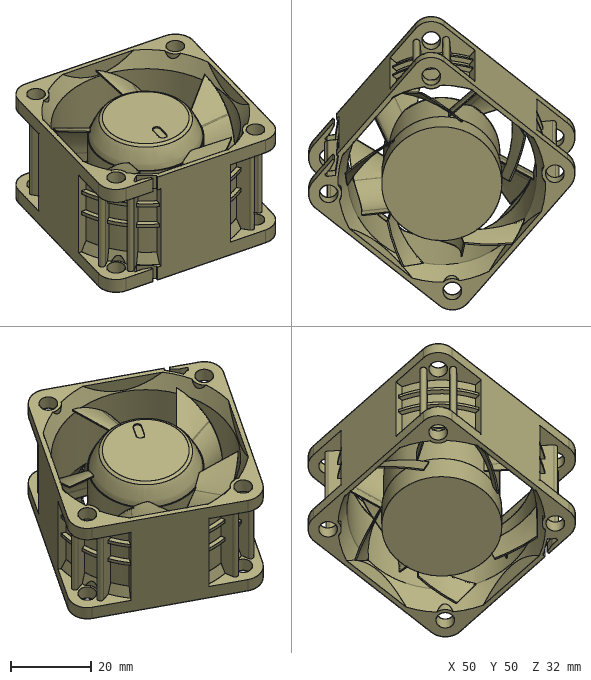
import cadquery as cq
import math

SIDE = 50.0
HEIGHT = 32.0
FLANGE_THICKNESS = 4.0
CORNER_RADIUS = 5.0
FLANGE_TOP_Z = HEIGHT - FLANGE_THICKNESS

BORE_RADIUS = 23.6
DUCT_RADIUS = SIDE / 2
FLARE_RADIUS = 25.85
FLARE_SQUARE = 47.5
INLET_FLARE_DEPTH = 4.25
OUTLET_FLARE_DEPTH = 7.0
OUTER_FLARE_RADIUS = 26.2
PANEL_WIDTH = 20.0

HOLE_SPACING = 40.0
HOLE_DIAMETER = 4.6
HOLE_BOSS_RADIUS = 3.25
SCREW_CLEARANCE_RADIUS = 2.8

HOOP_RADIUS = 26.2
HOOP_THICKNESS = 1.0
HOOP_BOTTOMS = (15.55, 21.95)
FIN_OFFSET = 3.7
FIN_THICKNESS = 1.75
FIN_REACH = 29.0

NOTCH_POINTS = [
    (SIDE / 2, -10.95),
    (24.35, -10.95),
    (21.8, -15.2),
    (23.2, -16.75),
    (23.85, -16.75),
    (23.85, -14.75),
    (24.4, -12.35),
    (SIDE / 2, -12.35),
]

BLADE_COUNT = 5
STEP_ANGLE = 360 / BLADE_COUNT

BASE_RADIUS = 14.95
BASE_HEIGHT = 8.0
VANE_THICKNESS = 0.4
VANE_BOTTOM_Z = 1.0
VANE_TOP_Z = 7.0
VANE_LOW_ARC = ((6.5, 15.35), (12.1, 15.4), (19.0, 14.6))
VANE_HIGH_ARC = ((5.0, 13.75), (12.5, 13.35), (21.4, 10.1))

HUB_TOP_Z = 30.15
HUB_FACE_RADIUS = 10.8
HUB_DOME_TOP = (11.65, 29.7)
HUB_DOME_MIDDLE = (13.3, 27.15)
HUB_DOME_BOTTOM = (14.25, 24.35)
HUB_RADIUS = 14.5
SLOT_CENTER_X = 7.0
SLOT_LENGTH = 5.1
SLOT_WIDTH = 2.1
SLOT_DEPTH = 0.4

BLADE_TIP_RADIUS = 23.0
BLADE_ROOT_RADIUS = 13.0
BLADE_ANGLE = 8.0
BLADE_THICKNESS = 0.3
BLADE_BOTTOM_Z = 10.0
BLADE_BACK_X = 9.5
BLADE_BREAK_X = 4.6
BLADE_ARC_RADIUS = 15.0
BLADE_ARC_CENTER = (BLADE_BACK_X - BLADE_ARC_RADIUS, 12.75)
BLADE_FRONT_TIP = (-5.0, 22.45, 30.4)
BLADE_FRONT_ROOT = (0.6, 13.4, 25.8)
BLADE_INNER_Y = 10.0
BLADE_OUTER_Y = 23.5


def cylinder(radius, bottom, top):
    return cq.Workplane("XY").workplane(offset=bottom).circle(radius).extrude(top - bottom)


def cone(bottom_radius, bottom, top_radius, top):
    profile = [(0, bottom), (bottom_radius, bottom), (top_radius, top), (0, top)]
    return cq.Workplane("XZ").polyline(profile).close().revolve(360, (0, 0), (0, 1))


def turned(part, angle):
    return part.rotate((0, 0, 0), (0, 0, 1), angle)


def square_block(width, bottom, top):
    return cq.Workplane("XY").workplane(offset=bottom).rect(width, width).extrude(top - bottom)


def at_screw_holes(radius, bottom, top):
    """Cylinders on the four screw hole axes."""
    return (
        cq.Workplane("XY").workplane(offset=bottom)
        .rect(HOLE_SPACING, HOLE_SPACING, forConstruction=True)
        .vertices().circle(radius).extrude(top - bottom)
    )


def flange(bottom):
    top = bottom + FLANGE_THICKNESS
    plate = square_block(SIDE, bottom, top).edges("|Z").fillet(CORNER_RADIUS)
    return plate.cut(at_screw_holes(HOLE_DIAMETER / 2, bottom, top))


def flare_cut(flare):
    """Flare with flattened sides, relieved around the screw holes."""
    cut = flare.intersect(square_block(FLARE_SQUARE, 0, HEIGHT))
    return cut.cut(at_screw_holes(HOLE_BOSS_RADIUS, 0, HEIGHT))


def side_panels():
    along_x = cq.Workplane("XY").box(SIDE, PANEL_WIDTH, HEIGHT, centered=(True, True, False))
    along_y = cq.Workplane("XY").box(PANEL_WIDTH, SIDE, HEIGHT, centered=(True, True, False))
    return along_x.union(along_y)


def corner_hoop(bottom):
    hoop = cylinder(HOOP_RADIUS, bottom, bottom + HOOP_THICKNESS)
    return hoop.intersect(square_block(SIDE, 0, HEIGHT))


def corner_fins():
    """Pairs of round-edged fins parallel to each corner's diagonal."""
    fins = cq.Workplane("XY")
    inner_end = DUCT_RADIUS - 2 * FIN_THICKNESS
    for angle in (45, 135, 225, 315):
        for offset in (-FIN_OFFSET, FIN_OFFSET):
            fin = (
                cq.Workplane("XY").center((inner_end + FIN_REACH) / 2, offset)
                .slot2D(FIN_REACH - inner_end, FIN_THICKNESS).extrude(FLANGE_TOP_Z)
            )
            fins = fins.union(turned(fin, angle))
    return fins


def vane_section(arc, z):
    """Flat strip between an arc and its copy shifted along +Y."""
    start, middle, end = arc
    shifted_start, shifted_middle, shifted_end = [(x, y + VANE_THICKNESS) for x, y in arc]
    return (
        cq.Workplane("XY").workplane(offset=z)
        .moveTo(*start).threePointArc(middle, end)
        .lineTo(*shifted_end).threePointArc(shifted_middle, shifted_start)
        .close().wires().val()
    )


def vane():
    """Sloping curved vane, ruled from its low edge to its high edge."""
    low = vane_section(VANE_LOW_ARC, VANE_BOTTOM_Z)
    high = vane_section(VANE_HIGH_ARC, VANE_TOP_Z)
    return cq.Workplane(cq.Solid.makeLoft([low, high], True))


def stator():
    body = cylinder(BASE_RADIUS, 0, BASE_HEIGHT)
    first = vane()
    for index in range(BLADE_COUNT):
        body = body.union(turned(first, index * STEP_ANGLE))
    return body


def build_housing():
    shell = cylinder(DUCT_RADIUS, 0, HEIGHT).union(side_panels())
    outer_flare = cone(OUTER_FLARE_RADIUS, FLANGE_THICKNESS, DUCT_RADIUS, OUTLET_FLARE_DEPTH)
    shell = shell.union(outer_flare.intersect(square_block(SIDE, 0, HEIGHT)))
    shell = shell.cut(at_screw_holes(SCREW_CLEARANCE_RADIUS, FLANGE_THICKNESS, FLANGE_TOP_Z))
    for bottom in HOOP_BOTTOMS:
        shell = shell.union(corner_hoop(bottom))
    shell = shell.union(corner_fins())
    shell = shell.union(flange(0)).union(flange(FLANGE_TOP_Z))

    inlet = cone(BORE_RADIUS, HEIGHT - INLET_FLARE_DEPTH, FLARE_RADIUS, HEIGHT)
    outlet = cone(FLARE_RADIUS, 0, BORE_RADIUS, OUTLET_FLARE_DEPTH)
    shell = shell.cut(cylinder(BORE_RADIUS, 0, HEIGHT))
    shell = shell.cut(flare_cut(inlet)).cut(flare_cut(outlet))
    shell = shell.cut(cq.Workplane("XY").polyline(NOTCH_POINTS).close().extrude(HEIGHT))

    inside = cylinder((BORE_RADIUS + DUCT_RADIUS) / 2, 0, HEIGHT)
    return shell.union(stator().intersect(inside))


def hub():
    return (
        cq.Workplane("XZ").moveTo(0, BASE_HEIGHT).lineTo(HUB_RADIUS, BASE_HEIGHT)
        .lineTo(HUB_RADIUS, HUB_DOME_BOTTOM[1]).lineTo(*HUB_DOME_BOTTOM)
        .threePointArc(HUB_DOME_MIDDLE, HUB_DOME_TOP)
        .lineTo(HUB_FACE_RADIUS, HUB_TOP_Z).lineTo(0, HUB_TOP_Z).close()
        .revolve(360, (0, 0), (0, 1))
    )


def break_angle(radius):
    """Angle up from +X at which a circle about the blade arc center meets the break."""
    return math.acos((BLADE_BREAK_X - BLADE_ARC_CENTER[0]) / radius)


def arc_point(radius, angle):
    x, z = BLADE_ARC_CENTER
    return (x + radius * math.cos(angle), z + radius * math.sin(angle))


def blade_back():
    outer = BLADE_ARC_RADIUS
    inner = BLADE_ARC_RADIUS - BLADE_THICKNESS
    outer_break = break_angle(outer)
    inner_break = break_angle(inner)
    return (
        cq.Workplane("XZ", origin=(0, BLADE_INNER_Y, 0))
        .moveTo(BLADE_BACK_X, BLADE_BOTTOM_Z).lineTo(*arc_point(outer, 0))
        .threePointArc(arc_point(outer, outer_break / 2), arc_point(outer, outer_break))
        .lineTo(*arc_point(inner, inner_break))
        .threePointArc(arc_point(inner, inner_break / 2), arc_point(inner, 0))
        .lineTo(BLADE_BACK_X - BLADE_THICKNESS, BLADE_BOTTOM_Z).close()
        .extrude(BLADE_INNER_Y - BLADE_OUTER_Y)
    )


def blade_front_section(y):
    """Section of the front part, leaving the back part's arc along its tangent."""
    tip_x, tip_y, tip_z = BLADE_FRONT_TIP
    root_x, root_y, root_z = BLADE_FRONT_ROOT
    fraction = (y - root_y) / (tip_y - root_y)
    front_x = root_x + fraction * (tip_x - root_x)
    front_z = root_z + fraction * (tip_z - root_z)

    angle = break_angle(BLADE_ARC_RADIUS)
    break_z = arc_point(BLADE_ARC_RADIUS, angle)[1]
    inner_radius = BLADE_ARC_RADIUS - BLADE_THICKNESS
    drop = break_z - arc_point(inner_radius, break_angle(inner_radius))[1]
    tangent = cq.Vector(-math.sin(angle), 0, math.cos(angle))

    def edge_arc(lowering):
        start = cq.Vector(BLADE_BREAK_X, y, break_z - lowering)
        end = cq.Vector(front_x, y, front_z - lowering)
        return cq.Edge.makeTangentArc(start, tangent, end)

    upper = edge_arc(0)
    lower = edge_arc(drop)
    front_side = cq.Edge.makeLine(upper.endPoint(), lower.endPoint())
    back_side = cq.Edge.makeLine(lower.startPoint(), upper.startPoint())
    return cq.Wire.assembleEdges([upper, front_side, lower, back_side])


def blade():
    sections = [blade_front_section(BLADE_INNER_Y), blade_front_section(BLADE_OUTER_Y)]
    front = cq.Workplane(cq.Solid.makeLoft(sections, True))
    sheet = blade_back().union(front).intersect(cylinder(BLADE_TIP_RADIUS, 0, HEIGHT))
    sheet = sheet.cut(cylinder(BLADE_ROOT_RADIUS, 0, HEIGHT))
    return turned(sheet, BLADE_ANGLE)


def build_rotor():
    rotor = hub()
    slot = (
        cq.Workplane("XY").workplane(offset=HUB_TOP_Z - SLOT_DEPTH).center(SLOT_CENTER_X, 0)
        .slot2D(SLOT_LENGTH, SLOT_WIDTH).extrude(SLOT_DEPTH)
    )
    first = blade()
    for index in range(BLADE_COUNT):
        rotor = rotor.union(turned(first, index * STEP_ANGLE))
    return rotor.cut(slot)


housing = build_housing()
rotor = build_rotor()
result = cq.Compound.makeCompound([housing.val(), rotor.val()])